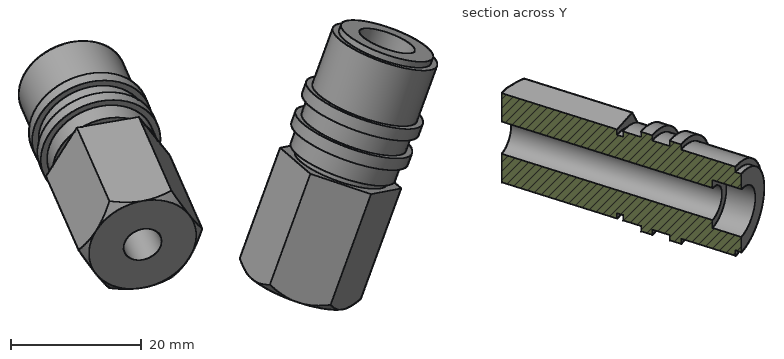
import cadquery as cq
import math

overall_length = 41.5
hex_length = 20.0
nose_length = 1.0
neck_length = 1.0
hex_start = overall_length - hex_length
body_length = hex_start - neck_length - nose_length

body_diameter = 17.0
core_diameter = 15.0
hex_across_flats = body_diameter
hex_across_corners = hex_across_flats / math.cos(math.radians(30))

ring_count = 2
ring_diameter = 19.0
ring_width = 2.0
first_ring_start = 10.4
ring_pitch = 5.0

chamfer_length = 1.3
chamfer_end_diameter = hex_across_flats

bore_diameter = 6.0
counterbore_diameter = 9.0
counterbore_depth = 5.0


def cylinder(start, length, diameter):
    """Round bar along X."""
    return cq.Workplane("YZ").workplane(offset=start).circle(diameter / 2).extrude(length)


def turned_body():
    """Body between a smaller nose and neck, with raised rings."""
    core = cylinder(0, hex_start, core_diameter)
    body = core.union(cylinder(nose_length, body_length, body_diameter))
    for index in range(ring_count):
        ring_start = first_ring_start + index * ring_pitch
        body = body.union(cylinder(ring_start, ring_width, ring_diameter))
    return body


def chamfered_hexagon():
    """Hexagon with flats facing up and down, its end corners trimmed by a cone."""
    hexagon = (
        cq.Workplane("YZ")
        .workplane(offset=hex_start)
        .polygon(6, hex_across_corners)
        .extrude(hex_length)
    )
    envelope = (
        cq.Workplane("XY")
        .moveTo(hex_start, 0)
        .lineTo(hex_start, hex_across_corners / 2)
        .lineTo(overall_length - chamfer_length, hex_across_corners / 2)
        .lineTo(overall_length, chamfer_end_diameter / 2)
        .lineTo(overall_length, 0)
        .close()
        .revolve(360, (0, 0, 0), (1, 0, 0))
    )
    return hexagon.intersect(envelope)


def stepped_bore():
    """Through bore with a wider counterbore at the nose."""
    bore = cylinder(0, overall_length, bore_diameter)
    return bore.union(cylinder(0, counterbore_depth, counterbore_diameter))


result = turned_body().union(chamfered_hexagon()).cut(stepped_bore())